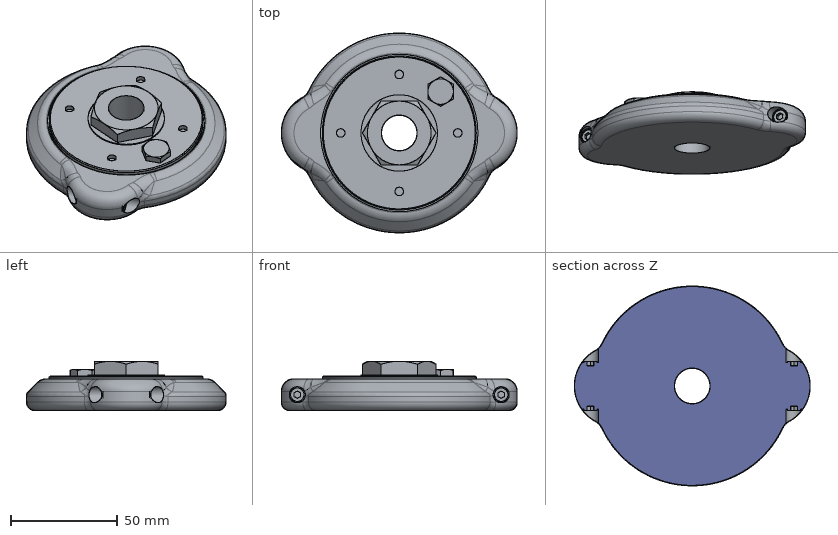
import cadquery as cq
import math

OVERALL_LENGTH = 111.0
BODY_HEIGHT = 15.0
DISC_DIAMETER = 94.0
SHOULDER_CHAMFER = 7.0
SHOULDER_BLEND = 3.0
LUG_RADIUS = 19.0
LUG_OFFSET = OVERALL_LENGTH / 2 - LUG_RADIUS
LUG_BLEND = 6.0
TOP_FILLET = 6.0
BOTTOM_FILLET = 4.0
FLAT_TOLERANCE = 0.01

RECESS_DIAMETER = 74.0
RECESS_DEPTH = 1.0
PLATE_DIAMETER = 72.5
PLATE_CHAMFER = 0.5
PLATE_TOP = 16.2
PLATE_HOLE_DIAMETER = 4.0
PLATE_HOLE_RADIUS = 27.5
PLATE_HOLE_COUNT = 4
PLATE_HOLE_DEPTH = PLATE_TOP - BODY_HEIGHT + RECESS_DEPTH

BORE_DIAMETER = 16.6
WASHER_DIAMETER = 36.0
WASHER_THICKNESS = 0.5
NUT_FLATS = 30.0
NUT_TOP = 23.2

BOLT_OFFSET = PLATE_HOLE_RADIUS * math.cos(math.radians(45))
BOLT_FLATS = 12.0
BOLT_TOP = 19.4

HEX_CHAMFER_ANGLE = 30.0

SCREW_OFFSET = 48.0
SCREW_HEIGHT = BODY_HEIGHT / 2
SCREW_POCKET_DIAMETER = 7.5
SCREW_FACE = 11.5
SCREW_HEAD_DIAMETER = 6.3
SCREW_RIM_DEPTH = 0.5
SCREW_SOCKET_FLATS = 3.0
SCREW_SOCKET_DEPTH = 2.0


def hexagon_head(flats, base, top):
    """Hexagonal prism with its corners along X and the usual turned top chamfer."""
    corner_radius = flats / math.sqrt(3)
    chamfer_drop = (corner_radius - flats / 2) * math.tan(math.radians(HEX_CHAMFER_ANGLE))
    prism = (
        cq.Workplane("XY")
        .workplane(offset=base)
        .polygon(6, 2 * corner_radius)
        .extrude(top - base)
    )
    turned_blank = (
        cq.Workplane("XZ")
        .moveTo(0, base)
        .lineTo(corner_radius, base)
        .lineTo(corner_radius, top - chamfer_drop)
        .lineTo(flats / 2, top)
        .lineTo(0, top)
        .close()
        .revolve(360, (0, 0, 0), (0, 1, 0))
    )
    return prism.intersect(turned_blank)


def make_body():
    """Disc and lugs with blended side creases and rounded top and bottom rims."""
    shoulder_height = BODY_HEIGHT - SHOULDER_CHAMFER
    disc = (
        cq.Workplane("XY")
        .circle(DISC_DIAMETER / 2)
        .extrude(BODY_HEIGHT)
        .faces(">Z")
        .chamfer(SHOULDER_CHAMFER)
        .edges(cq.NearestToPointSelector((0, 0, shoulder_height)))
        .fillet(SHOULDER_BLEND)
    )
    lugs = (
        cq.Workplane("XY")
        .pushPoints([(-LUG_OFFSET, 0), (LUG_OFFSET, 0)])
        .circle(LUG_RADIUS)
        .extrude(BODY_HEIGHT)
    )
    body = disc.union(lugs)

    body = body.edges().filter(lambda edge: edge.BoundingBox().zlen > FLAT_TOLERANCE).fillet(LUG_BLEND)
    body = body.faces(">Z").edges().fillet(TOP_FILLET)
    return body.faces("<Z").edges().fillet(BOTTOM_FILLET)


def make_plate():
    """Round cover plate standing on the floor of the recess."""
    floor = BODY_HEIGHT - RECESS_DEPTH
    return (
        cq.Workplane("XY")
        .workplane(offset=floor)
        .circle(PLATE_DIAMETER / 2)
        .extrude(PLATE_TOP - floor)
        .faces(">Z")
        .chamfer(PLATE_CHAMFER)
    )


def cut_plate_holes(part):
    """Blind holes through the cover plate, evenly spaced from the X axis."""
    return (
        part.copyWorkplane(cq.Workplane("XY").workplane(offset=PLATE_TOP))
        .polarArray(PLATE_HOLE_RADIUS, 0, 360, PLATE_HOLE_COUNT)
        .circle(PLATE_HOLE_DIAMETER / 2)
        .cutBlind(-PLATE_HOLE_DEPTH)
    )


def make_nut():
    """Washer and chamfered nut at the centre."""
    washer = (
        cq.Workplane("XY")
        .workplane(offset=PLATE_TOP)
        .circle(WASHER_DIAMETER / 2)
        .extrude(WASHER_THICKNESS)
    )
    return washer.union(hexagon_head(NUT_FLATS, PLATE_TOP + WASHER_THICKNESS, NUT_TOP))


def make_bolt_head():
    """Small bolt head with its corners along Y."""
    head = hexagon_head(BOLT_FLATS, PLATE_TOP, BOLT_TOP)
    return head.rotate((0, 0, 0), (0, 0, 1), 90).translate((BOLT_OFFSET, BOLT_OFFSET, 0))


def make_screw_pocket(x):
    """Cutter for a pocket open to -Y that leaves a round socket screw head on its floor."""
    head_face = cq.Workplane("XZ", origin=(x, -SCREW_FACE, SCREW_HEIGHT))
    access_bore = (
        head_face.workplane(offset=-SCREW_RIM_DEPTH)
        .circle(SCREW_POCKET_DIAMETER / 2)
        .extrude(LUG_RADIUS - SCREW_FACE + SCREW_RIM_DEPTH)
    )
    head = head_face.circle(SCREW_HEAD_DIAMETER / 2).extrude(-SCREW_RIM_DEPTH)
    socket = (
        head_face.transformed(rotate=(0, 0, 30))
        .polygon(6, SCREW_SOCKET_FLATS * 2 / math.sqrt(3))
        .extrude(-SCREW_SOCKET_DEPTH)
    )
    return access_bore.cut(head).union(socket)


def cut_screw_pockets(part):
    """Sink a screw pocket into both ends of each lug."""
    for x in (-SCREW_OFFSET, SCREW_OFFSET):
        pocket = make_screw_pocket(x)
        part = part.cut(pocket).cut(pocket.mirror("XZ"))
    return part


recess = (
    cq.Workplane("XY")
    .workplane(offset=BODY_HEIGHT)
    .circle(RECESS_DIAMETER / 2)
    .extrude(-RECESS_DEPTH)
)
bore = cq.Workplane("XY").circle(BORE_DIAMETER / 2).extrude(NUT_TOP)

result = make_body().cut(recess).union(make_plate())
result = cut_plate_holes(result)
result = result.union(make_nut()).union(make_bolt_head())
result = cut_screw_pockets(result).cut(bore)